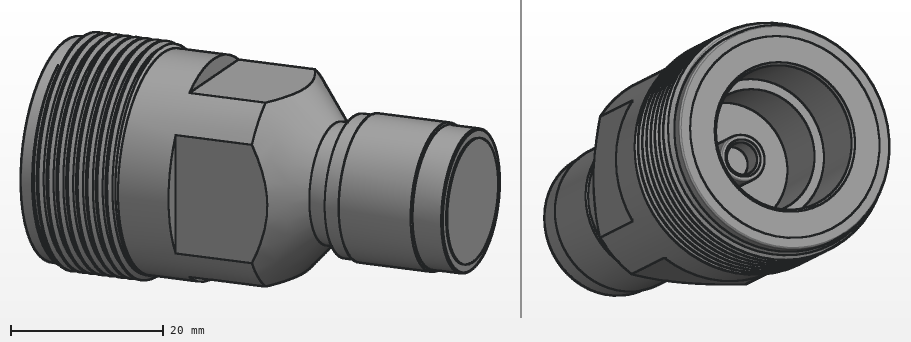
import cadquery as cq


total_length = 58.4
barrel_radius = 15.1
thread_seat_radius = 13.55
bore_radius = 9.7
bore_depth = 9.6
bore_chamfer = 0.35
inner_bore_radius = 8.35
inner_bore_depth = 18.7
flats_start = 21.3
half_across_flats = 12.7
cone_start = 32.25
cone_end = 38.55
neck_radius = 8.25
nose_radius = 8.4

contact_radius = 3.15
contact_tip = 14.0
contact_edge_round = 0.2
socket_radius = 2.15
socket_chamfer = 0.35
socket_depth = 3.5

sleeve_length = 14.1
sleeve_edge_round = 0.25
thread_start = 1.75
thread_turns = 8
thread_turns_length = 11.3
thread_pitch = thread_turns_length / thread_turns
thread_diameter = 31.7
thread_height = thread_diameter / 2 - barrel_radius
thread_base_width = 1.0
thread_crest_width = 0.2
first_crest = 3.3
thread_root_sink = 0.1

nut_start = 41.35
nut_end = 58.25
nut_end_radius = 9.65
grip_radius = 9.95
grip_start = 43.35
grip_end = 54.0
grip_ramp_length = 0.2
nut_edge_chamfer = 0.2


def revolve_about_x(points):
    """Revolve a closed outline of (x, radius) points about the X axis."""
    return cq.Workplane("XY").polyline(points).close().revolve(360, (0, 0, 0), (1, 0, 0))


def cylinder(start, end, radius):
    """Solid cylinder on the X axis between two x positions."""
    return cq.Workplane("YZ", origin=(start, 0, 0)).circle(radius).extrude(end - start)


def make_turned_blank():
    """Outer shape of the body with the seat for the sleeve and the bored mouth."""
    return revolve_about_x([
        (0, bore_radius + bore_chamfer),
        (0, thread_seat_radius),
        (sleeve_length, thread_seat_radius),
        (sleeve_length, barrel_radius),
        (cone_start, barrel_radius),
        (cone_end, neck_radius),
        (nut_start, neck_radius),
        (nut_start, nose_radius),
        (total_length, nose_radius),
        (total_length, 0),
        (inner_bore_depth, 0),
        (inner_bore_depth, inner_bore_radius),
        (bore_depth, inner_bore_radius),
        (bore_depth, bore_radius),
        (bore_chamfer, bore_radius),
    ])


def make_flats_envelope():
    """Round bar, then a square bar that leaves four wrench flats between the barrel and the neck."""
    across_flats = 2 * half_across_flats
    bar = (
        cq.Workplane("YZ", origin=(flats_start, 0, 0))
        .rect(across_flats, across_flats)
        .extrude(total_length - flats_start)
    )
    return cylinder(0, flats_start, barrel_radius).union(bar)


def make_contact():
    """Tubular contact with a rounded rim and a chamfered socket."""
    post = cylinder(contact_tip, inner_bore_depth, contact_radius)
    post = post.faces("<X").edges().fillet(contact_edge_round)
    socket = cylinder(contact_tip, contact_tip + socket_depth, socket_radius)
    post = post.cut(socket)
    socket_rim = post.faces("<X").edges(cq.selectors.RadiusNthSelector(0))
    return socket_rim.chamfer(socket_chamfer)


def make_body():
    return make_turned_blank().intersect(make_flats_envelope()).union(make_contact())


def make_thread_ridge(helix_start, helix_length):
    """Helical ridge of trapezoidal section, sunk a little into the barrel surface."""
    root_radius = barrel_radius - thread_root_sink
    crest_radius = barrel_radius + thread_height
    flank_slope = (thread_base_width - thread_crest_width) / 2 / thread_height
    half_root = thread_base_width / 2 + flank_slope * thread_root_sink
    half_crest = thread_crest_width / 2

    helix = cq.Wire.makeHelix(thread_pitch, helix_length, barrel_radius)
    ridge = (
        cq.Workplane("XZ")
        .polyline([
            (root_radius, -half_root),
            (crest_radius, -half_crest),
            (crest_radius, half_crest),
            (root_radius, half_root),
        ])
        .close()
        .sweep(cq.Workplane(helix), isFrenet=True)
    )
    return ridge.rotate((0, 0, 0), (0, 1, 0), 90).translate((helix_start, 0, 0))


def make_threaded_bar():
    """Threaded stretch of the sleeve as a solid bar.

    Bar and ridge run past both ends and are trimmed to the threaded length, with
    45 degree chamfers that fade the ridge out at both ends.
    """
    helix_start = first_crest - 2 * thread_pitch
    helix_end = sleeve_length + thread_pitch
    ridge = make_thread_ridge(helix_start, helix_end - helix_start)
    bar = cylinder(helix_start - thread_pitch, helix_end + thread_pitch, barrel_radius)
    envelope_radius = barrel_radius + thread_height + thread_root_sink
    chamfer = envelope_radius - barrel_radius
    envelope = revolve_about_x([
        (thread_start, 0),
        (thread_start, barrel_radius),
        (thread_start + chamfer, envelope_radius),
        (sleeve_length - chamfer, envelope_radius),
        (sleeve_length, barrel_radius),
        (sleeve_length, 0),
    ])
    return bar.union(ridge).intersect(envelope)


def make_sleeve():
    bar = cylinder(0, sleeve_length, barrel_radius)
    bar = bar.faces("<X").edges().fillet(sleeve_edge_round)
    bar = bar.union(make_threaded_bar())
    return bar.cut(cylinder(0, sleeve_length, thread_seat_radius))


def make_nut():
    """Plain coupling nut with a raised grip band that ramps up at both ends."""
    return revolve_about_x([
        (nut_start, nose_radius),
        (nut_start, nut_end_radius),
        (grip_start, nut_end_radius),
        (grip_start + grip_ramp_length, grip_radius),
        (grip_end - grip_ramp_length, grip_radius),
        (grip_end, nut_end_radius),
        (nut_end - nut_edge_chamfer, nut_end_radius),
        (nut_end, nut_end_radius - nut_edge_chamfer),
        (nut_end, nose_radius),
    ])


body = make_body()
sleeve = make_sleeve()
nut = make_nut()

result = cq.Compound.makeCompound([body.val(), sleeve.val(), nut.val()])